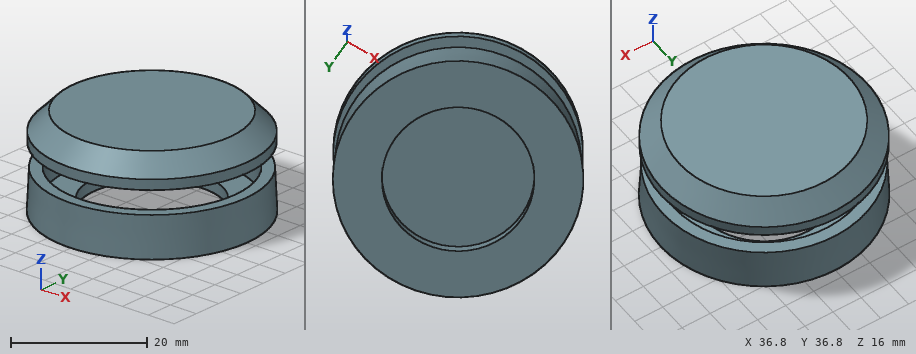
import cadquery as cq

ring_base_radius = 18.4
ring_top_radius = 18.1
ring_height = 7.0
bore_radius = 16.05
floor_thickness = 2.0
floor_hole_radius = 11.2

lid_radius = 18.35
lid_gap = 4.05
lid_height = 4.95
lid_bevel = 3.2


def make_ring():
    """Tapered outer wall, deep bore from above, smaller hole through the floor."""
    body = (
        cq.Workplane("XY")
        .circle(ring_base_radius)
        .workplane(offset=ring_height)
        .circle(ring_top_radius)
        .loft()
    )
    bore = (
        cq.Workplane("XY", origin=(0, 0, floor_thickness))
        .circle(bore_radius)
        .extrude(ring_height - floor_thickness)
    )
    floor_hole = cq.Workplane("XY").circle(floor_hole_radius).extrude(floor_thickness)
    return body.cut(bore).cut(floor_hole)


def make_lid():
    """Solid disc with a wide bevel around its top edge."""
    return (
        cq.Workplane("XY", origin=(0, 0, ring_height + lid_gap))
        .circle(lid_radius)
        .extrude(lid_height)
        .faces(">Z")
        .chamfer(lid_bevel)
    )


ring = make_ring()
lid = make_lid()

result = cq.Compound.makeCompound([ring.val(), lid.val()])